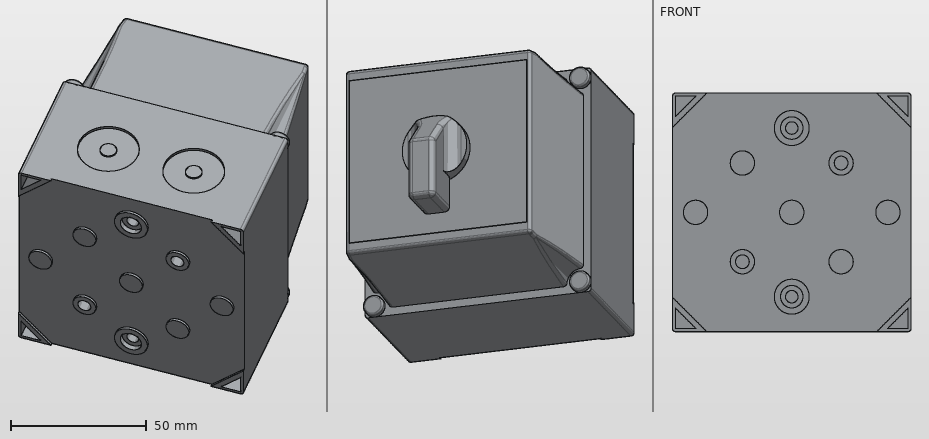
import cadquery as cq
import math

BOX_SIDE = 88.0
TOTAL_DEPTH = 115.1

FOOT_HEIGHT = 1.0
BOX_FRONT = 49.3
BOX_EDGE_RADIUS = 1.3

COVER_FRONT = 95.0
COVER_BASE_SIDE = 82.0
COVER_FRONT_SIDE = 72.0
COVER_EDGE_RADIUS = 1.4

SCREW_RADIUS = 3.9
SCREW_HEIGHT = 2.4
SCREW_EDGE_RADIUS = 0.7
GROOVE_RADIUS = 5.5
SCREW_OFFSET = BOX_SIDE / 2 - SCREW_RADIUS

PLATE_WIDTH = 69.1
PLATE_HEIGHT = 63.9
PLATE_THICKNESS = 0.5
PLATE_FRONT = COVER_FRONT + PLATE_THICKNESS

FOOT_LEG = 12.8
FOOT_POCKET_INSET = 1.2
FOOT_POCKET_LEG = 7.6
FOOT_POCKET_DEPTH = 9.2

PAD_RADIUS = 4.5
SIDE_PAD_OFFSET = 35.5
DIAGONAL_PAD_OFFSET = 18.2
PAD_HOLE_RADIUS = 2.5
PAD_HOLE_DEPTH = 11.5
MOUNT_RADIUS = 6.5
MOUNT_OFFSET = 31.1
MOUNT_BORE_RADIUS = 4.1
MOUNT_BORE_DEPTH = 2.1
MOUNT_HOLE_RADIUS = 2.3
MOUNT_HOLE_DEPTH = 11.5

KNOCKOUT_RADIUS = 11.4
KNOCKOUT_DEPTH = 1.0
KNOCKOUT_X = 16.7
KNOCKOUT_Y = 22.3
KNOCKOUT_STUD_RADIUS = 3.1
KNOCKOUT_STUD_HEIGHT = 0.6

DISC_RADIUS = 12.5
DISC_FRONT = 99.2
BLADE_WIDTH = 10.4
BLADE_BOTTOM = -25.0
BLADE_BACK = 97.1
SLOPE_ANGLE = 42.5
BLADE_EDGE_RADIUS = 2.1
FLARE_RADIUS = 5.2
FLARE_NECK = DISC_FRONT + FLARE_RADIUS
EDGE_MARGIN = 0.1

QUADRANTS = [(1, 1), (-1, 1), (-1, -1), (1, -1)]


def cylinder_along_y(radius, x, z, start, end):
    return cq.Workplane(cq.Solid.makeCylinder(radius, end - start, cq.Vector(x, start, z), cq.Vector(0, 1, 0)))


def cylinder_along_z(radius, x, y, start, end):
    return cq.Workplane(cq.Solid.makeCylinder(radius, end - start, cq.Vector(x, y, start)))


def plane_at(y):
    """Plane across the knob axis: local x is X, local y is Z, and extruding goes towards +Y if negative."""
    return cq.Workplane("XZ", origin=(0, y, 0))


def corner_triangle(sign_x, sign_z, inset, leg, depth):
    """Right-angled prism in one corner of the box, from Y = 0 forwards."""
    corner = BOX_SIDE / 2 - inset
    points = [(corner, corner), (corner - leg, corner), (corner, corner - leg)]
    signed_points = [(sign_x * x, sign_z * z) for x, z in points]
    return plane_at(0).polyline(signed_points).close().extrude(-depth)


def make_box():
    box = plane_at(0).rect(BOX_SIDE, BOX_SIDE).extrude(-BOX_FRONT).edges("|Y").fillet(BOX_EDGE_RADIUS)
    relief = plane_at(0).rect(BOX_SIDE, BOX_SIDE).extrude(-FOOT_HEIGHT)
    for sign_x, sign_z in QUADRANTS:
        relief = relief.cut(corner_triangle(sign_x, sign_z, 0, FOOT_LEG, FOOT_HEIGHT))
    box = box.cut(relief)
    for sign_x, sign_z in QUADRANTS:
        box = box.cut(
            corner_triangle(sign_x, sign_z, FOOT_POCKET_INSET, FOOT_POCKET_LEG, FOOT_POCKET_DEPTH)
        )
    return box


def make_cover():
    cover = (
        plane_at(BOX_FRONT)
        .rect(COVER_BASE_SIDE, COVER_BASE_SIDE)
        .workplane(offset=BOX_FRONT - COVER_FRONT)
        .rect(COVER_FRONT_SIDE, COVER_FRONT_SIDE)
        .loft(combine=True)
    )
    for sign_x, sign_z in QUADRANTS:
        cover = cover.cut(
            cylinder_along_y(
                GROOVE_RADIUS, sign_x * SCREW_OFFSET, sign_z * SCREW_OFFSET, BOX_FRONT, COVER_FRONT
            )
        )
    cover = cover.edges("not <Y").fillet(COVER_EDGE_RADIUS)
    plate = plane_at(COVER_FRONT).rect(PLATE_WIDTH, PLATE_HEIGHT).extrude(-PLATE_THICKNESS)
    return cover.union(plate)


def make_screw(sign_x, sign_z):
    screw = cylinder_along_y(
        SCREW_RADIUS, sign_x * SCREW_OFFSET, sign_z * SCREW_OFFSET, BOX_FRONT, BOX_FRONT + SCREW_HEIGHT
    )
    return screw.faces(">Y").edges().fillet(SCREW_EDGE_RADIUS)


def add_back_pads(body):
    diagonal = DIAGONAL_PAD_OFFSET
    pad_places = [(0, 0), (SIDE_PAD_OFFSET, 0), (-SIDE_PAD_OFFSET, 0)]
    pad_places += [(sign_x * diagonal, sign_z * diagonal) for sign_x, sign_z in QUADRANTS]
    for x, z in pad_places:
        body = body.union(cylinder_along_y(PAD_RADIUS, x, z, 0, FOOT_HEIGHT))
    for side in (1, -1):
        body = body.cut(
            cylinder_along_y(PAD_HOLE_RADIUS, side * diagonal, side * diagonal, 0, PAD_HOLE_DEPTH)
        )
        z = side * MOUNT_OFFSET
        body = body.union(cylinder_along_y(MOUNT_RADIUS, 0, z, 0, FOOT_HEIGHT))
        body = body.cut(cylinder_along_y(MOUNT_BORE_RADIUS, 0, z, 0, MOUNT_BORE_DEPTH))
        body = body.cut(cylinder_along_y(MOUNT_HOLE_RADIUS, 0, z, 0, MOUNT_HOLE_DEPTH))
    return body


def cut_knockouts(body):
    top = BOX_SIDE / 2
    floor = top - KNOCKOUT_DEPTH
    for x in (-KNOCKOUT_X, KNOCKOUT_X):
        recess = cylinder_along_z(KNOCKOUT_RADIUS, x, KNOCKOUT_Y, floor, top)
        stud = cylinder_along_z(KNOCKOUT_STUD_RADIUS, x, KNOCKOUT_Y, floor, floor + KNOCKOUT_STUD_HEIGHT)
        body = body.cut(recess.cut(stud))
    return body


def make_enclosure():
    enclosure = make_box().union(make_cover())
    for sign_x, sign_z in QUADRANTS:
        enclosure = enclosure.union(make_screw(sign_x, sign_z))
    return cut_knockouts(add_back_pads(enclosure))


def make_flare():
    """Concave foot on both blade faces, as wide as the disc allows."""
    half_width = BLADE_WIDTH / 2
    foot = half_width + FLARE_RADIUS
    arc_inset = FLARE_RADIUS * (1 - math.sqrt(0.5))
    arc_x = half_width + arc_inset
    arc_y = DISC_FRONT + arc_inset
    return (
        cq.Workplane("XY", origin=(0, 0, -DISC_RADIUS))
        .moveTo(-foot, DISC_FRONT)
        .lineTo(foot, DISC_FRONT)
        .threePointArc((arc_x, arc_y), (half_width, FLARE_NECK))
        .lineTo(-half_width, FLARE_NECK)
        .threePointArc((-arc_x, arc_y), (-foot, DISC_FRONT))
        .close()
        .extrude(2 * DISC_RADIUS)
        .intersect(cylinder_along_y(DISC_RADIUS, 0, 0, DISC_FRONT, FLARE_NECK))
    )


def make_handle():
    disc = cylinder_along_y(DISC_RADIUS, 0, 0, PLATE_FRONT, DISC_FRONT)
    blade = (
        cq.Workplane("YZ")
        .moveTo(BLADE_BACK, BLADE_BOTTOM)
        .lineTo(TOTAL_DEPTH, BLADE_BOTTOM)
        .lineTo(TOTAL_DEPTH, 0)
        .lineTo(BLADE_BACK, 0)
        .close()
        .extrude(BLADE_WIDTH / 2, both=True)
    )
    upper_blade = (
        plane_at(DISC_FRONT)
        .rect(BLADE_WIDTH, 2 * DISC_RADIUS)
        .extrude(DISC_FRONT - TOTAL_DEPTH)
        .intersect(cylinder_along_y(DISC_RADIUS, 0, 0, DISC_FRONT, TOTAL_DEPTH))
    )
    slope_drop = (TOTAL_DEPTH - DISC_FRONT) * math.tan(math.radians(SLOPE_ANGLE))
    above_slope = (
        cq.Workplane("YZ")
        .moveTo(DISC_FRONT, DISC_RADIUS)
        .lineTo(TOTAL_DEPTH, DISC_RADIUS - slope_drop)
        .lineTo(TOTAL_DEPTH, DISC_RADIUS)
        .close()
        .extrude(DISC_RADIUS, both=True)
    )
    handle = blade.union(upper_blade).union(make_flare()).cut(above_slope).union(disc)
    rounded_edges = handle.edges().filter(
        lambda edge: edge.geomType() == "LINE" and edge.Center().y > FLARE_NECK + EDGE_MARGIN
    )
    return rounded_edges.fillet(BLADE_EDGE_RADIUS)


enclosure = make_enclosure()
handle = make_handle()
result = cq.Compound.makeCompound([enclosure.val(), handle.val()])